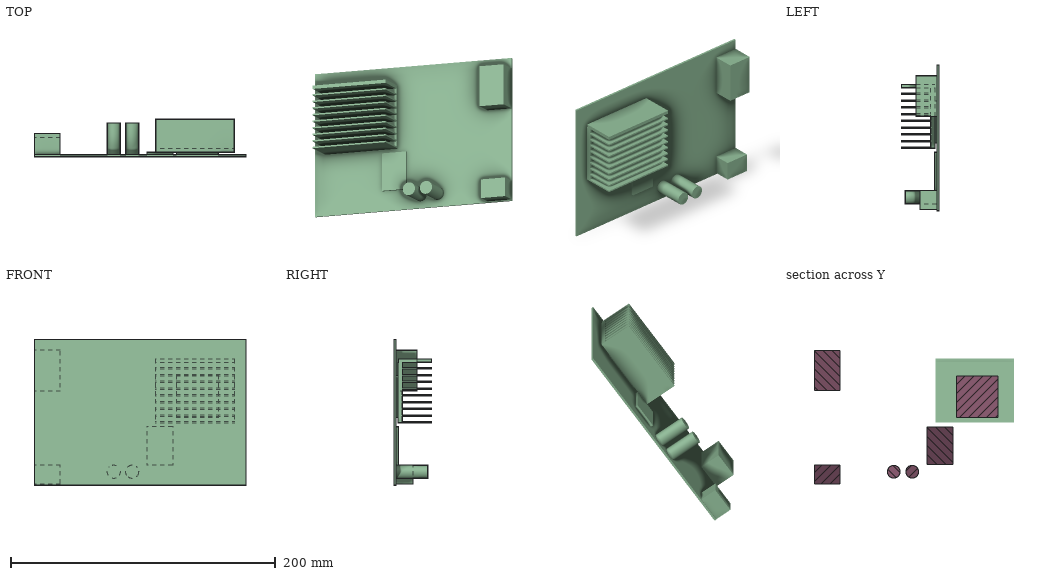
import cadquery as cq

BOARD_LENGTH = 160.0
BOARD_HEIGHT = 110.0
BOARD_THICKNESS = 1.6

CONNECTOR_WIDTH = 19.5
UPPER_CONNECTOR_BOTTOM = 71.2
UPPER_CONNECTOR_HEIGHT = 30.9
UPPER_CONNECTOR_DEPTH = 16.0
LOWER_CONNECTOR_BOTTOM = 1.0
LOWER_CONNECTOR_HEIGHT = 14.4
LOWER_CONNECTOR_DEPTH = 13.0

CAPACITOR_DIAMETER = 10.0
CAPACITOR_LENGTH = 24.0
CAPACITOR_COUNT = 2
CAPACITOR_FIRST_X = 60.0
CAPACITOR_SPACING = 14.0
CAPACITOR_Z = 10.2

MEMORY_LEFT = 85.0
MEMORY_WIDTH = 19.8
MEMORY_BOTTOM = 15.4
MEMORY_HEIGHT = 29.0
MEMORY_THICKNESS = 2.0

PROCESSOR_LEFT = 107.2
PROCESSOR_SIZE = 31.8
PROCESSOR_BOTTOM = 51.0
PROCESSOR_THICKNESS = 1.5

SINK_LEFT = 91.7
SINK_WIDTH = 59.4
SINK_BOTTOM = 47.0
SINK_HEIGHT = 48.3
SINK_DEPTH = 25.5
SINK_BASE_THICKNESS = 3.4
FIN_COUNT = 10
FIN_THICKNESS = 1.1
TOP_FIN_THICKNESS = 2.5
FIN_PITCH = (SINK_HEIGHT - TOP_FIN_THICKNESS) / (FIN_COUNT - 1)
TOP_FIN_STEP = 0.5


def block(left, front, bottom, width, depth, height):
    """Box located by its least X, Y and Z."""
    return cq.Workplane("XY").box(width, depth, height, centered=False).translate((left, front, bottom))


def mounted_block(left, bottom, width, depth, height):
    """Box standing on the rear face of the board."""
    return block(left, BOARD_THICKNESS, bottom, width, depth, height)


def make_capacitor(center_x):
    """Cylinder standing on the rear face of the board."""
    rear_face = cq.Plane(
        origin=(center_x, BOARD_THICKNESS, CAPACITOR_Z), xDir=(1, 0, 0), normal=(0, 1, 0)
    )
    return cq.Workplane(rear_face).circle(CAPACITOR_DIAMETER / 2).extrude(CAPACITOR_LENGTH)


def make_heat_sink():
    """Finned heat sink resting on the processor."""
    front = BOARD_THICKNESS + PROCESSOR_THICKNESS
    base_height = SINK_HEIGHT - TOP_FIN_THICKNESS
    top_fin_bottom = SINK_BOTTOM + base_height
    sink = block(SINK_LEFT, front, SINK_BOTTOM, SINK_WIDTH, SINK_BASE_THICKNESS, base_height)
    for index in range(FIN_COUNT - 1):
        fin_bottom = SINK_BOTTOM + index * FIN_PITCH
        fin = block(SINK_LEFT, front, fin_bottom, SINK_WIDTH, SINK_DEPTH, FIN_THICKNESS)
        sink = sink.union(fin)
    top_fin = block(
        SINK_LEFT,
        front + TOP_FIN_STEP,
        top_fin_bottom,
        SINK_WIDTH,
        SINK_DEPTH - TOP_FIN_STEP,
        TOP_FIN_THICKNESS,
    )
    return sink.union(top_fin)


board = block(0, 0, 0, BOARD_LENGTH, BOARD_THICKNESS, BOARD_HEIGHT)
upper_connector = mounted_block(
    0, UPPER_CONNECTOR_BOTTOM, CONNECTOR_WIDTH, UPPER_CONNECTOR_DEPTH, UPPER_CONNECTOR_HEIGHT
)
lower_connector = mounted_block(
    0, LOWER_CONNECTOR_BOTTOM, CONNECTOR_WIDTH, LOWER_CONNECTOR_DEPTH, LOWER_CONNECTOR_HEIGHT
)
capacitors = [
    make_capacitor(CAPACITOR_FIRST_X + index * CAPACITOR_SPACING) for index in range(CAPACITOR_COUNT)
]
memory = mounted_block(MEMORY_LEFT, MEMORY_BOTTOM, MEMORY_WIDTH, MEMORY_THICKNESS, MEMORY_HEIGHT)
processor = mounted_block(
    PROCESSOR_LEFT, PROCESSOR_BOTTOM, PROCESSOR_SIZE, PROCESSOR_THICKNESS, PROCESSOR_SIZE
)
heat_sink = make_heat_sink()

result = cq.Compound.makeCompound(
    [
        board.val(),
        upper_connector.val(),
        lower_connector.val(),
        *[capacitor.val() for capacitor in capacitors],
        memory.val(),
        processor.val(),
        heat_sink.val(),
    ]
)